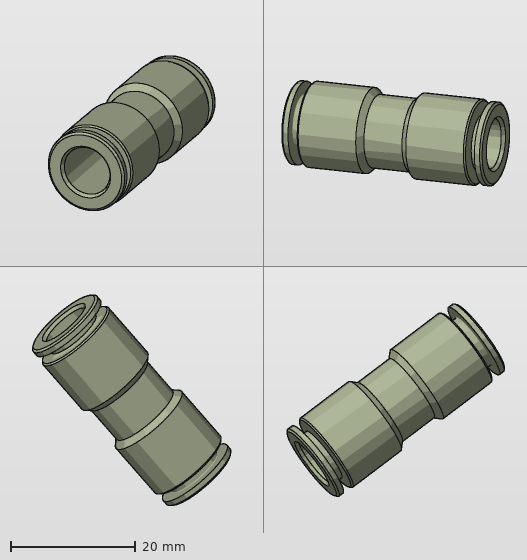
import cadquery as cq

total_length = 34.4
half_length = total_length / 2

flange_radius = 6.8
flange_thickness = 1.2
flange_chamfer_length = 0.3
flange_chamfer_depth = 0.38
neck_radius = 4.7
neck_fillet = 0.17

body_radius = 7.0
body_end = 14.45
rim_chamfer_length = 0.28
rim_chamfer_depth = 0.28
end_cone_radius = 5.95
end_cone_rise = 0.25
waist_radius = 6.0
waist_half_length = 3.27
shoulder_length = 1.03

bore_radius = 4.05
entry_radius = 4.47
entry_length = 0.6
through_radius = 3.47
seat_length = 0.35

flange_back = half_length - flange_thickness

end_section = (
    cq.Workplane("XY")
    .moveTo(through_radius, waist_half_length)
    .lineTo(waist_radius, waist_half_length)
    .lineTo(body_radius, waist_half_length + shoulder_length)
    .lineTo(body_radius, body_end - rim_chamfer_length)
    .lineTo(body_radius - rim_chamfer_depth, body_end)
    .lineTo(end_cone_radius, body_end)
    .lineTo(neck_radius, body_end + end_cone_rise)
    .lineTo(neck_radius, flange_back - neck_fillet)
    .tangentArcPoint((neck_radius + neck_fillet, flange_back), relative=False)
    .lineTo(flange_radius, flange_back)
    .lineTo(flange_radius, half_length - flange_chamfer_length)
    .lineTo(flange_radius - flange_chamfer_depth, half_length)
    .lineTo(entry_radius, half_length)
    .lineTo(bore_radius, half_length - entry_length)
    .lineTo(bore_radius, waist_half_length + seat_length)
    .close()
)
coupling_end = end_section.revolve(360, (0, 0, 0), (0, 1, 0))

waist = (
    cq.Workplane("XZ", origin=(0, waist_half_length, 0))
    .circle(waist_radius)
    .circle(through_radius)
    .extrude(2 * waist_half_length)
)

result = waist.union(coupling_end).union(coupling_end.mirror("XZ"))